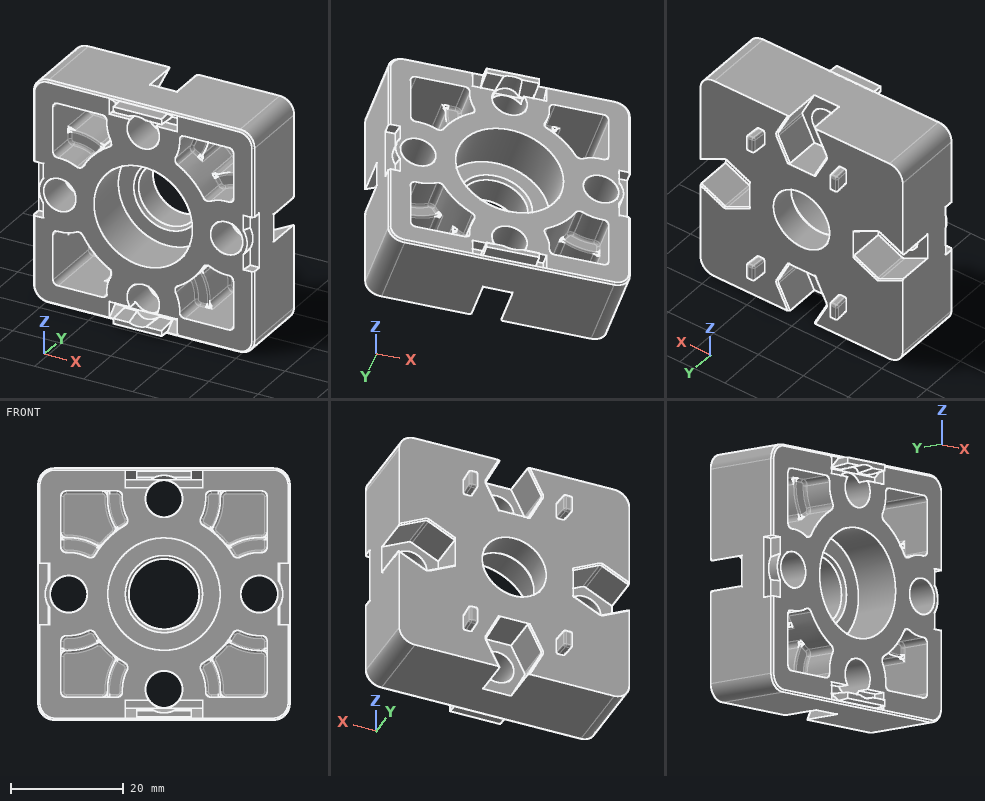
import cadquery as cq
import math

side = 45.0
half_side = side / 2
body_depth = 15.0
corner_radius = 3.0
front_chamfer = 0.35

counterbore_radius = 10.05
counterbore_depth = 9.0
bore_radius = 6.25
bore_chamfer = 0.65

hole_offset = 17.0
hole_radius = 3.3

nut_pocket_depth = 7.5
nut_pocket_half = 5.5
nut_mouth_half = nut_pocket_half / 2
nut_corner_fillet = 0.68
nut_mouth_chamfer = 0.25

pocket_outer = 18.4
pocket_hub_radius = 14.15
shelf_arc_radius = 7.42
shelf_depth = 6.0
deep_arc_radius = 10.1
deep_depth = 13.5
pocket_corner_radius = 1.0
pocket_floor_fillet = 0.5
shelf_edge_fillet = 0.3

clip_depth = 2.1
clip_clearance_radius = 4.2
tab_half_width = 4.9
tab_inner_root = 20.5
tab_inner_tip = 20.85
tab_outer_root = 22.05
tab_outer_tip = 21.9
recess_half_width = 6.9
recess_inner = 18.95
recess_slope_start = 20.4
recess_slope_end = half_side - front_chamfer
notch_half_width = 5.5
notch_inner_front = 20.4
notch_inner_floor = 20.65

pin_length = 3.0
pin_width = 1.7
pin_height = 3.4
pin_root_x = 9.1
pin_lean = 0.2
pin_z = 14.75
pin_fillet = 0.4

margin = 0.45


def cylinder(radius, start, end, x=0.0, z=0.0):
    """Cylinder along Y from Y = start to Y = end."""
    return cq.Workplane("XZ", origin=(x, start, z)).circle(radius).extrude(start - end)


def turned(shape, angle):
    """Copy of a shape turned about the bore axis."""
    return shape.rotate((0, 0, 0), (0, 1, 0), angle)


def make_body():
    block = cq.Workplane("XZ").rect(side, side).extrude(-body_depth)
    return block.edges("|Y").fillet(corner_radius).faces("<Y").chamfer(front_chamfer)


def make_bore():
    lip_radius = bore_radius + bore_chamfer
    profile = [
        (0, 0),
        (counterbore_radius, 0),
        (counterbore_radius, counterbore_depth),
        (lip_radius, counterbore_depth),
        (bore_radius, counterbore_depth + bore_chamfer),
        (bore_radius, body_depth),
        (0, body_depth),
    ]
    return cq.Workplane("XY").polyline(profile).close().revolve(360, (0, 0), (0, 1))


def make_nut_pocket():
    """Back pocket around the upper screw hole, with its mouth on the top side."""
    outline = [
        (-nut_mouth_half, half_side),
        (-nut_pocket_half, hole_offset),
        (-nut_mouth_half, 2 * hole_offset - half_side),
        (nut_mouth_half, 2 * hole_offset - half_side),
        (nut_pocket_half, hole_offset),
        (nut_mouth_half, half_side),
    ]
    floor = body_depth - nut_pocket_depth
    pocket = cq.Workplane("XZ", origin=(0, floor, 0)).polyline(outline).close().extrude(-nut_pocket_depth)
    widest_corners = pocket.edges("|Y").edges("<X or >X")
    return widest_corners.fillet(nut_corner_fillet)


def pocket_prism(arc_radius, depth):
    """Plain corner pocket in the +X +Z quadrant, bounded by arcs about the bore and two screw holes."""
    prism = cq.Workplane("XY").box(pocket_outer, depth, pocket_outer, centered=False)
    prism = prism.cut(cylinder(pocket_hub_radius, 0, depth))
    prism = prism.cut(cylinder(arc_radius, 0, depth, x=hole_offset))
    prism = prism.cut(cylinder(arc_radius, 0, depth, z=hole_offset))
    return prism.edges("|Y").fillet(pocket_corner_radius)


def pocket_level(arc_radius, depth):
    """Corner pocket with a filleted floor."""
    return pocket_prism(arc_radius, depth).faces(">Y").edges().fillet(pocket_floor_fillet)


def shelf_rim(x, z):
    """Ring about a screw hole whose inside rounds the edge between shelf and deep floor."""
    rim_start = deep_arc_radius - shelf_edge_fillet
    rim_end = deep_arc_radius + margin
    rim_bottom = shelf_depth + shelf_edge_fillet
    arc_middle = (
        rim_start + shelf_edge_fillet * math.sin(math.pi / 4),
        rim_bottom - shelf_edge_fillet * math.cos(math.pi / 4),
    )
    ring = (
        cq.Workplane("XY")
        .moveTo(rim_start, shelf_depth - margin)
        .lineTo(rim_start, shelf_depth)
        .threePointArc(arc_middle, (deep_arc_radius, rim_bottom))
        .lineTo(rim_end, rim_bottom)
        .lineTo(rim_end, shelf_depth - margin)
        .close()
        .revolve(360, (0, 0), (0, 1))
    )
    return ring.translate((x, 0, z))


def make_corner_pocket():
    """Deep pocket with a shallower, round-edged shelf beside each of the two nearest screw holes."""
    pocket = pocket_level(shelf_arc_radius, shelf_depth).union(pocket_level(deep_arc_radius, deep_depth))
    rim_bounds = pocket_prism(shelf_arc_radius, shelf_depth + shelf_edge_fillet)
    for x, z in ((hole_offset, 0), (0, hole_offset)):
        pocket = pocket.union(shelf_rim(x, z).intersect(rim_bounds))
    return pocket


def make_tab_recess():
    """Recess behind the upper clip tab, with a floor that slopes out to the front chamfer."""
    profile = [
        (0, recess_inner),
        (clip_depth, recess_inner),
        (clip_depth, recess_slope_start),
        (0, recess_slope_end),
    ]
    return cq.Workplane("YZ").polyline(profile).close().extrude(recess_half_width, both=True)


def make_tab():
    """Upper clip tab, rooted in the recess slope and hollowed around the screw hole."""
    profile = [
        (-clip_depth, tab_inner_tip),
        (clip_depth, tab_inner_root),
        (clip_depth, tab_outer_root),
        (0, tab_outer_root),
        (-clip_depth, tab_outer_tip),
    ]
    tab = cq.Workplane("YZ").polyline(profile).close().extrude(tab_half_width, both=True)
    return tab.cut(cylinder(clip_clearance_radius, -clip_depth, clip_depth, z=hole_offset))


def make_notch():
    """Notch in the +X side with an undercut wall, leaving a round boss about the screw hole."""
    profile = [
        (half_side + margin, 0),
        (notch_inner_front, 0),
        (notch_inner_floor, clip_depth),
        (half_side + margin, clip_depth),
    ]
    notch = cq.Workplane("XY").polyline(profile).close().extrude(notch_half_width, both=True)
    return notch.cut(cylinder(clip_clearance_radius, 0, clip_depth, x=hole_offset))


def make_pin():
    """Leaning pin in the +X +Z quadrant of the back face."""
    inner = pin_root_x - pin_width / 2
    outer = pin_root_x + pin_width / 2
    tip = body_depth + pin_length
    profile = [(inner, body_depth), (outer, body_depth), (outer + pin_lean, tip), (inner + pin_lean, tip)]
    pin = cq.Workplane("XY", origin=(0, 0, pin_z)).polyline(profile).close().extrude(pin_height / 2, both=True)
    return pin.edges("not <Y").fillet(pin_fillet)


def chamfer_nut_mouths(body):
    """Chamfer the sloping edges of the four nut pockets on the back face."""
    reach = half_side - margin
    pocket_end = 2 * hole_offset - half_side + margin
    upright_pair = cq.selectors.BoxSelector(
        (-nut_pocket_half, 0, -reach), (nut_pocket_half, side, reach)
    )
    level_pair = cq.selectors.BoxSelector(
        (-reach, 0, -nut_pocket_half), (reach, side, nut_pocket_half)
    )
    end_walls = cq.selectors.BoxSelector(
        (-pocket_end, 0, -pocket_end), (pocket_end, side, pocket_end)
    )
    back_edges = body.faces(">Y").edges()
    return back_edges.edges(upright_pair + level_pair - end_walls).chamfer(nut_mouth_chamfer)


result = make_body().cut(make_bore())

nut_pocket = make_nut_pocket()
hole = cylinder(hole_radius, 0, body_depth, z=hole_offset)
pocket = make_corner_pocket()
for quarter in range(4):
    angle = 90 * quarter
    result = result.cut(turned(pocket, angle))
    result = result.cut(turned(nut_pocket, angle))
result = chamfer_nut_mouths(result)

for angle in (0, 180):
    result = result.cut(turned(make_tab_recess(), angle))
    result = result.cut(turned(make_notch(), angle))
    result = result.union(turned(make_tab(), angle))

for quarter in range(4):
    result = result.cut(turned(hole, 90 * quarter))

pin = make_pin()
for pins in (pin, pin.mirror("YZ")):
    result = result.union(pins).union(pins.mirror("XY"))